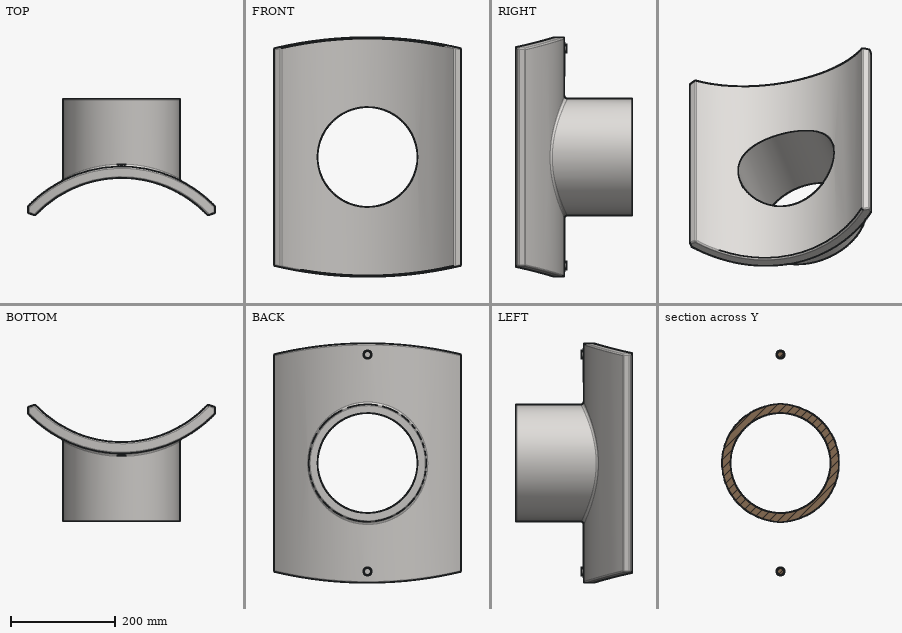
import cadquery as cq
import math

inner_radius = 227.0
thickness = 22.0
outer_radius = inner_radius + thickness
half_width = 179.5
side_flat = 12.8
tip_half_width = 166.0
half_length = 230.0
end_drop = 21.4
edge_fillet = 3.0

pipe_diameter = 225.0
bore_diameter = 191.25
pipe_length = 130.04
pipe_end_fillet = 2.0
pipe_end = outer_radius + pipe_length
root_fillet = 5.0

terminal_offset = 208.0
terminal_height = 4.0
terminal_neck_diameter = 13.0
terminal_flange_diameter = 16.0
terminal_flange_thickness = 0.8


def height_on_arc(radius, x):
    return math.sqrt(radius**2 - x**2)


def cylinder_along_y(diameter, start, end):
    base = cq.Workplane("XZ", origin=(0, start, 0))
    return base.circle(diameter / 2).extrude(start - end)


def make_saddle():
    corner_y = height_on_arc(outer_radius, half_width)
    flat_bottom_y = corner_y - side_flat
    tip_y = height_on_arc(inner_radius, tip_half_width)
    section = (
        cq.Workplane("XY", origin=(0, 0, -half_length))
        .moveTo(-half_width, corner_y)
        .threePointArc((0, outer_radius), (half_width, corner_y))
        .lineTo(half_width, flat_bottom_y)
        .lineTo(tip_half_width, tip_y)
        .threePointArc((0, inner_radius), (-tip_half_width, tip_y))
        .lineTo(-half_width, flat_bottom_y)
        .close()
        .extrude(2 * half_length)
    )
    side_z = half_length - end_drop
    outline = (
        cq.Workplane("XZ")
        .moveTo(-half_width, -side_z)
        .threePointArc((0, -half_length), (half_width, -side_z))
        .lineTo(half_width, side_z)
        .threePointArc((0, half_length), (-half_width, side_z))
        .close()
        .extrude(-outer_radius)
    )
    return section.intersect(outline).edges().fillet(edge_fillet)


def make_pipe():
    pipe = cylinder_along_y(pipe_diameter, 0, pipe_end)
    pipe = pipe.faces(">Y").edges().fillet(pipe_end_fillet)
    core = cq.Workplane("XY").cylinder(2 * half_length, inner_radius + thickness / 2)
    return pipe.cut(core)


def round_pipe_root(body):
    reach = pipe_diameter / 2 + root_fillet
    lower_corner = (-reach, 0, -reach)
    upper_corner = (reach, outer_radius + root_fillet, reach)
    root = cq.selectors.BoxSelector(lower_corner, upper_corner, boundingbox=True)
    return body.edges(root).fillet(root_fillet)


def make_terminal(z):
    top = outer_radius + terminal_height
    root = outer_radius - thickness / 2
    neck = cylinder_along_y(terminal_neck_diameter, root, top)
    flange = cylinder_along_y(terminal_flange_diameter, top - terminal_flange_thickness, top)
    return neck.union(flange).translate((0, 0, z))


body = round_pipe_root(make_saddle().union(make_pipe()))
for z in (-terminal_offset, terminal_offset):
    body = body.union(make_terminal(z))
result = body.cut(cylinder_along_y(bore_diameter, 0, pipe_end))